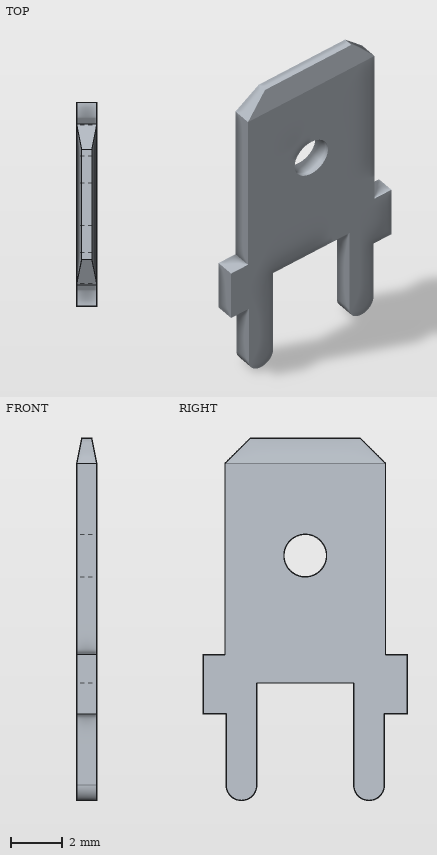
import cadquery as cq

height = 14.2
thickness = 0.8
blade_width = 6.3

tip_length = 1.0
tip_width = 4.3
tip_thickness = 0.4

shoulder_width = 8.0
shoulder_bottom = 3.4
shoulder_top = 5.72

leg_width = 1.2
leg_pitch = 5.0
leg_root = 4.6

hole_diameter = 1.66
hole_height = 9.6

tip_base = height - tip_length


def plate(width, bottom, top):
    """Full-thickness rectangular plate centred on X and Y, between two heights."""
    return cq.Workplane("XY").box(thickness, width, top - bottom).translate((0, 0, (bottom + top) / 2))


def make_tip():
    """Frustum narrowing in both width and thickness toward the blade tip."""
    return (
        cq.Workplane("XY", origin=(0, 0, tip_base))
        .rect(thickness, blade_width)
        .workplane(offset=tip_length)
        .rect(tip_thickness, tip_width)
        .loft(combine=True, ruled=True)
    )


def make_leg(y_centre):
    """Straight leg with a semicircular lower end, reaching up to the shoulder top."""
    radius = leg_width / 2
    return (
        cq.Workplane("YZ", origin=(-thickness / 2, y_centre, 0))
        .moveTo(-radius, shoulder_top)
        .lineTo(-radius, radius)
        .threePointArc((0, 0), (radius, radius))
        .lineTo(radius, shoulder_top)
        .close()
        .extrude(thickness)
    )


def make_shoulders():
    """Crossbar with the gap between the legs cut up to the leg root."""
    gap_width = leg_pitch - leg_width
    crossbar = plate(shoulder_width, shoulder_bottom, shoulder_top)
    return crossbar.cut(plate(gap_width, shoulder_bottom, leg_root))


def make_hole():
    """Cylinder that pierces the blade along X."""
    return (
        cq.Workplane("YZ", origin=(-thickness / 2, 0, hole_height))
        .circle(hole_diameter / 2)
        .extrude(thickness)
    )


def make_terminal():
    """Complete one-piece terminal."""
    body = plate(blade_width, shoulder_top, tip_base).union(make_tip()).union(make_shoulders())
    for side in (-1, 1):
        body = body.union(make_leg(side * leg_pitch / 2))
    return body.cut(make_hole()).clean()


terminal = make_terminal()
result = cq.Compound.makeCompound([terminal.solids().val()])